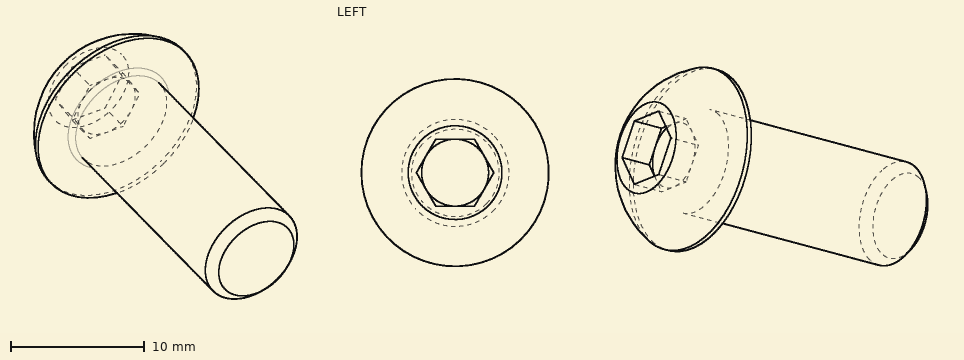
import cadquery as cq
import math

total_length = 24.4
head_height = 4.4
head_radius = 14.0 / 2
face_radius = head_radius / 2
rim_width = 0.4
shank_radius = 8.0 / 2
neck_fillet = 0.41
tip_chamfer = 0.73
socket_width = 5.0
socket_depth = 2.6
drill_point_angle = 120.0

rim_start = head_height - rim_width
dome_center = (rim_start**2 + head_radius**2 - face_radius**2) / (2 * rim_start)
dome_radius = math.hypot(dome_center, face_radius)
dome_mid_x = rim_start / 2
dome_mid_radius = math.sqrt(dome_radius**2 - (dome_center - dome_mid_x) ** 2)


def make_body():
    """Revolve the half profile of head and shank about the X axis."""
    neck_end = head_height + neck_fillet
    neck_radius = shank_radius + neck_fillet
    arc_offset = neck_fillet * math.sqrt(0.5)
    profile = (
        cq.Workplane("XY")
        .lineTo(0, face_radius)
        .threePointArc((dome_mid_x, dome_mid_radius), (rim_start, head_radius))
        .lineTo(head_height, head_radius)
        .lineTo(head_height, neck_radius)
        .threePointArc(
            (neck_end - arc_offset, neck_radius - arc_offset),
            (neck_end, shank_radius),
        )
        .lineTo(total_length - tip_chamfer, shank_radius)
        .lineTo(total_length, shank_radius - tip_chamfer)
        .lineTo(total_length, 0)
        .close()
    )
    return profile.revolve(360, (0, 0, 0), (1, 0, 0))


def make_socket():
    """Hexagonal socket with corners along Y and a conical bottom."""
    across_corners = socket_width / math.cos(math.radians(30))
    hexagon = cq.Workplane("YZ").polygon(6, across_corners).extrude(socket_depth)
    cone_radius = socket_width / 2
    cone_depth = cone_radius / math.tan(math.radians(drill_point_angle / 2))
    cone = (
        cq.Workplane("XY")
        .moveTo(socket_depth, 0)
        .lineTo(socket_depth, cone_radius)
        .lineTo(socket_depth + cone_depth, 0)
        .close()
        .revolve(360, (0, 0, 0), (1, 0, 0))
    )
    return hexagon.union(cone)


result = make_body().cut(make_socket())